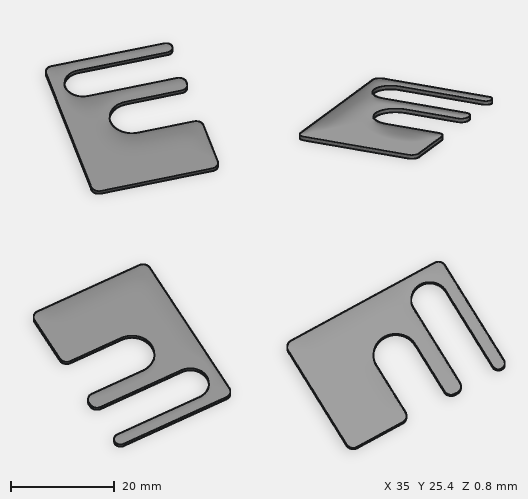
import cadquery as cq

length = 35.05
depth = 25.4
thickness = 0.8
corner_radius = 1.5

outer_finger_width = 2.52
narrow_slot_width = 7.15
middle_finger_width = 3.5
wide_slot_width = 8.65

narrow_slot_floor = 2.52
wide_slot_floor = 8.38

narrow_slot_left = outer_finger_width
narrow_slot_right = narrow_slot_left + narrow_slot_width
wide_slot_left = narrow_slot_right + middle_finger_width
wide_slot_right = wide_slot_left + wide_slot_width


def open_slot(left, width, floor):
    """Slot with a semicircular bottom, open at the upper edge of the plate."""
    radius = width / 2
    shoulder = floor + radius
    return (
        cq.Workplane("XY")
        .moveTo(left, depth)
        .lineTo(left, shoulder)
        .threePointArc((left + radius, floor), (left + width, shoulder))
        .lineTo(left + width, depth)
        .close()
        .extrude(thickness)
    )


def round_corners(body, corners):
    """Round the upright edges at the given (x, y) corners."""
    for x, y in corners:
        edge = cq.selectors.NearestToPointSelector((x, y, thickness / 2))
        body = body.edges("|Z").edges(edge).fillet(corner_radius)
    return body


plate = cq.Workplane("XY").box(length, depth, thickness, centered=False)
plate = plate.cut(open_slot(narrow_slot_left, narrow_slot_width, narrow_slot_floor))
plate = plate.cut(open_slot(wide_slot_left, wide_slot_width, wide_slot_floor))

plate = round_corners(
    plate,
    [
        (0, 0),
        (length, 0),
        (length, depth),
        (wide_slot_right, depth),
        (wide_slot_left, depth),
        (narrow_slot_right, depth),
    ],
)

tip_radius = outer_finger_width / 2
tip_base = depth - tip_radius
tip_blank = cq.Workplane("XY").box(outer_finger_width, tip_radius, thickness, centered=False)
tip_blank = tip_blank.translate((0, tip_base, 0))
tip = cq.Workplane("XY").center(tip_radius, tip_base).circle(tip_radius).extrude(thickness)

result = plate.cut(tip_blank).union(tip)